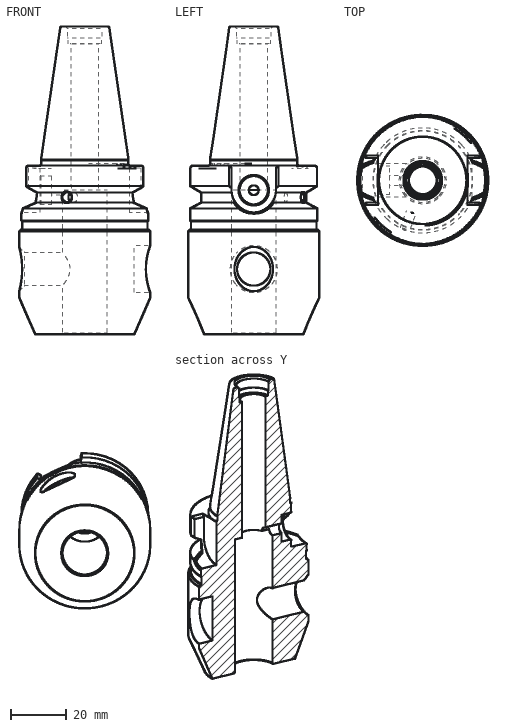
import cadquery as cq
import math

total_height = 111.4
cone_top = 13.3
body_top = 37.2
ring_groove_bottom = 38.0
ring_groove_top = 40.9
lower_rim_top = 45.6
grip_groove_bottom = 47.7
grip_groove_top = 51.2
upper_rim_bottom = 53.6
flange_top = 61.0
gauge_height = 63.2

nose_radius = 18.0
body_radius = 47.5 / 2
rim_radius = 46.0 / 2
ring_groove_radius = 45.5 / 2
grip_groove_radius = 19.0
neck_radius = 31.5 / 2
taper_large_radius = 15.87
taper_ratio = 7 / 48
taper_small_radius = taper_large_radius - (total_height - gauge_height) * taper_ratio

nose_chamfer = 0.2
body_edge_fillet = 1.1
flange_fillet = 1.0
neck_fillet = 0.7
taper_end_fillet = 0.8
taper_step = 0.2
ring_groove_chamfer = 0.3

shank_radius = 16.0 / 2
shank_depth = 52.1
shank_mouth_radius = 17.0 / 2
through_radius = 10.0 / 2
thread_radius = 12.0 / 2
pilot_radius = 12.5 / 2
pilot_mouth_radius = 7.0
pilot_depth = 4.2
thread_depth = 6.1
through_edge_chamfer = 0.2

slot_floor = 16.3
slot_half_width = 16.0 / 2
slot_edge_chamfer = 0.9
slot_center_height = 52.1
slot_rim_chamfer = 17.0 / 2 - slot_half_width

chip_radius = 10.2 / 2
chip_mouth_radius = 11.0 / 2
chip_depth = 4.2
chip_vent_radius = 3.6 / 2

side_hole_height = 23.6
clamp_hole_radius = 12.0 / 2
clamp_mouth_radius = 16.0 / 2
relief_hole_radius = 17.0 / 2
relief_floor = 17.8

groove_hole_radius = 3.6 / 2
groove_hole_mouth_radius = 4.2 / 2
groove_hole_angle = 250
groove_hole_height = 49.6
groove_hole_depth = 6.7


def revolve_profile(points):
    """Turn (radius, height) points into a solid about the Z axis."""
    return cq.Workplane("XZ").polyline(points).close().revolve(360, (0, 0, 0), (0, 1, 0))


def x_cone(x_start, start_radius, x_end, end_radius, height):
    """Cone or cylinder along X between two stations."""
    points = [(x_start, 0), (x_start, start_radius), (x_end, end_radius), (x_end, 0)]
    profile = cq.Workplane("XY").polyline(points).close()
    return profile.revolve(360, (0, 0, 0), (1, 0, 0)).translate((0, 0, height))


def quarter_arc(profile, center, radius, middle_angle, end):
    """Add a quarter-circle arc; middle_angle points from its center to its midpoint."""
    angle = math.radians(middle_angle)
    middle = (center[0] + radius * math.cos(angle), center[1] + radius * math.sin(angle))
    return profile.threePointArc(middle, end)


def make_body():
    profile = cq.Workplane("XZ").polyline([
        (0, 0),
        (nose_radius - nose_chamfer, 0),
        (nose_radius, nose_chamfer),
        (body_radius, cone_top),
        (body_radius, body_top),
        (rim_radius, ring_groove_bottom),
        (ring_groove_radius, ring_groove_bottom),
        (ring_groove_radius, ring_groove_top),
        (rim_radius, ring_groove_top + ring_groove_chamfer),
        (rim_radius, lower_rim_top),
        (grip_groove_radius, grip_groove_bottom),
        (grip_groove_radius, grip_groove_top),
        (rim_radius, upper_rim_bottom),
        (rim_radius, flange_top - flange_fillet),
    ])
    flange_arc_center = (rim_radius - flange_fillet, flange_top - flange_fillet)
    flange_arc_end = (rim_radius - flange_fillet, flange_top)
    profile = quarter_arc(profile, flange_arc_center, flange_fillet, 45, flange_arc_end)

    neck_arc_center = (neck_radius + neck_fillet, flange_top + neck_fillet)
    neck_arc_end = (neck_radius, flange_top + neck_fillet)
    profile = profile.lineTo(neck_radius + neck_fillet, flange_top)
    profile = quarter_arc(profile, neck_arc_center, neck_fillet, 225, neck_arc_end)

    profile = profile.lineTo(neck_radius, gauge_height - taper_step)
    profile = profile.lineTo(taper_large_radius, gauge_height)
    profile = profile.lineTo(taper_small_radius, total_height)
    profile = profile.lineTo(0, total_height).close()
    body = profile.revolve(360, (0, 0, 0), (0, 1, 0))

    shoulder_zone = cq.selectors.BoxSelector(
        (-body_radius, -body_radius, cone_top - body_edge_fillet),
        (body_radius, body_radius, cone_top + body_edge_fillet),
    )
    body = body.edges(shoulder_zone).fillet(body_edge_fillet)
    return body.edges(">Z").fillet(taper_end_fillet)


def make_central_bores():
    pilot_floor = total_height - pilot_depth
    thread_floor = total_height - thread_depth
    mouth_depth = pilot_mouth_radius - pilot_radius
    shank_mouth_depth = shank_mouth_radius - shank_radius
    return revolve_profile([
        (0, 0),
        (shank_mouth_radius, 0),
        (shank_radius, shank_mouth_depth),
        (shank_radius, shank_depth),
        (through_radius, shank_depth),
        (through_radius, thread_floor - through_edge_chamfer),
        (through_radius + through_edge_chamfer, thread_floor),
        (thread_radius, thread_floor),
        (thread_radius, pilot_floor),
        (pilot_radius, pilot_floor),
        (pilot_radius, total_height - mouth_depth),
        (pilot_mouth_radius, total_height),
        (0, total_height),
    ])


def make_drive_slot(side):
    length = body_radius - slot_floor
    middle = side * (slot_floor + length / 2)
    height = flange_top - slot_center_height
    channel = cq.Workplane("XY").box(length, 2 * slot_half_width, height)
    channel = channel.translate((middle, 0, slot_center_height + height / 2))
    round_end = x_cone(side * slot_floor, slot_half_width, side * body_radius, slot_half_width,
                       slot_center_height)
    flare_low = flange_top - slot_edge_chamfer
    flare_half_width = slot_half_width + slot_edge_chamfer
    flare = cq.Workplane("YZ").polyline([
        (-slot_half_width, flare_low),
        (-flare_half_width, flange_top),
        (flare_half_width, flange_top),
        (slot_half_width, flare_low),
    ]).close().extrude(side * length).translate((side * slot_floor, 0, 0))
    corner_x = math.sqrt(rim_radius ** 2 - flare_half_width ** 2)
    corner = cq.Workplane("XY", origin=(0, 0, grip_groove_top)).polyline([
        (side * (corner_x - slot_edge_chamfer), -slot_half_width),
        (side * (corner_x + 1.1), -flare_half_width - 1.1),
        (side * (corner_x + 1.1), flare_half_width + 1.1),
        (side * (corner_x - slot_edge_chamfer), slot_half_width),
    ]).close().extrude(flange_top - grip_groove_top)
    return channel.union(round_end).union(flare).union(corner)


def make_chip_pocket():
    floor = slot_floor - chip_depth
    mouth_depth = chip_mouth_radius - chip_radius
    pocket = x_cone(-slot_floor, chip_radius, -floor, chip_radius, slot_center_height)
    mouth = x_cone(-slot_floor, chip_mouth_radius, -slot_floor + mouth_depth, chip_radius,
                   slot_center_height)
    vent = x_cone(-floor, chip_vent_radius, 0, chip_vent_radius, slot_center_height)
    return pocket.union(mouth).union(vent)


def make_clamp_hole():
    sink_depth = clamp_mouth_radius - clamp_hole_radius
    hole = x_cone(-body_radius, clamp_hole_radius, 0, clamp_hole_radius, side_hole_height)
    sink = x_cone(-body_radius, clamp_mouth_radius, sink_depth - body_radius, clamp_hole_radius,
                  side_hole_height)
    return hole.union(sink)


def make_relief_hole():
    return x_cone(relief_floor, relief_hole_radius, body_radius, relief_hole_radius, side_hole_height)


def make_groove_hole():
    mouth_depth = groove_hole_mouth_radius - groove_hole_radius
    floor = grip_groove_radius - groove_hole_depth
    hole = x_cone(floor, groove_hole_radius, body_radius, groove_hole_radius, groove_hole_height)
    mouth = x_cone(grip_groove_radius - mouth_depth, groove_hole_radius,
                   grip_groove_radius, groove_hole_mouth_radius, groove_hole_height)
    return hole.union(mouth).rotate((0, 0, 0), (0, 0, 1), groove_hole_angle)


def break_slot_rims(part):
    """Chamfer the curved lower rim of both drive slots where it meets the outside."""
    low_edge = slot_center_height - slot_half_width - 0.1
    for side in (-1, 1):
        near, far = sorted((side * slot_floor * 1.05, side * body_radius))
        zone = cq.selectors.BoxSelector(
            (near, -slot_half_width, low_edge),
            (far, slot_half_width, grip_groove_bottom - 0.3),
        )
        part = part.edges(zone).chamfer(slot_rim_chamfer)
    return part


result = make_body()
for slot_side in (-1, 1):
    result = result.cut(make_drive_slot(slot_side))
result = break_slot_rims(result)
result = result.cut(make_central_bores())
result = result.cut(make_chip_pocket())
result = result.cut(make_clamp_hole())
result = result.cut(make_relief_hole())
result = result.cut(make_groove_hole())